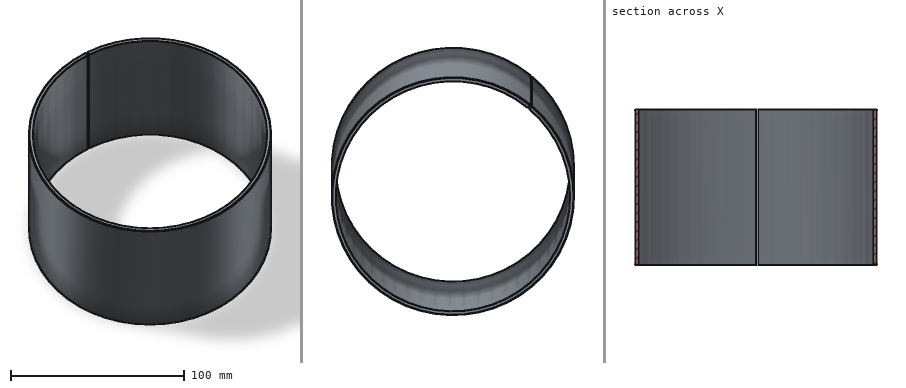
import cadquery as cq

outer_diameter = 140.0
wall_thickness = 2.5
height = 90.0
outer_chamfer = 0.5
inner_chamfer = 0.2
slit_angle = 1.0

outer_radius = outer_diameter / 2
inner_radius = outer_radius - wall_thickness


def make_wall_profile():
    """Wall section on the -X side, with chamfered corners at both rims."""
    rim_outer_radius = outer_radius - outer_chamfer
    rim_inner_radius = inner_radius + inner_chamfer
    return (
        cq.Workplane("XZ")
        .moveTo(-rim_inner_radius, 0)
        .lineTo(-rim_outer_radius, 0)
        .lineTo(-outer_radius, outer_chamfer)
        .lineTo(-outer_radius, height - outer_chamfer)
        .lineTo(-rim_outer_radius, height)
        .lineTo(-rim_inner_radius, height)
        .lineTo(-inner_radius, height - inner_chamfer)
        .lineTo(-inner_radius, inner_chamfer)
        .close()
    )


def make_split_sleeve():
    """Sweep the section about Z from -X through -Y, stopping short to leave a narrow radial slit."""
    sweep_angle = 360 - slit_angle
    axis_start = (0, 0, 0)
    axis_end = (0, 1, 0)
    return make_wall_profile().revolve(sweep_angle, axis_start, axis_end)


result = make_split_sleeve()